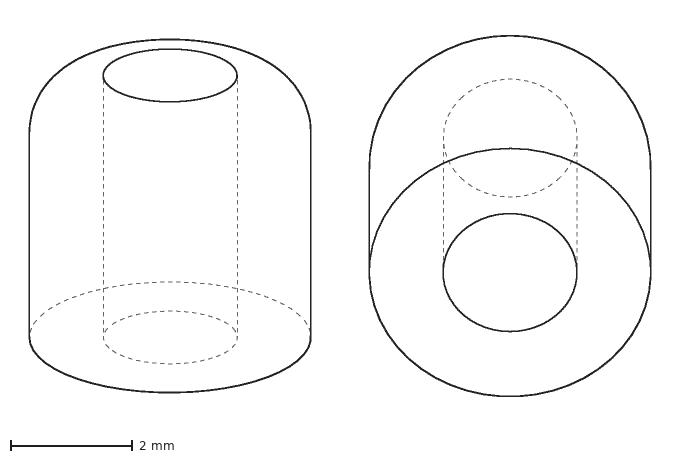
import cadquery as cq

OUTER_DIAMETER = 4.65
HEIGHT = 4.7
BORE_DIAMETER = 2.21
TOP_ROUND_RADIUS = 1.016


def make_body():
    """Solid cylinder with its top rim rounded over."""
    cylinder = cq.Workplane("XY").circle(OUTER_DIAMETER / 2).extrude(HEIGHT)
    return cylinder.faces(">Z").edges().fillet(TOP_ROUND_RADIUS)


def cut_bore(body):
    """Cut the plain bore through the full height."""
    return body.faces(">Z").workplane().hole(BORE_DIAMETER)


result = cut_bore(make_body())